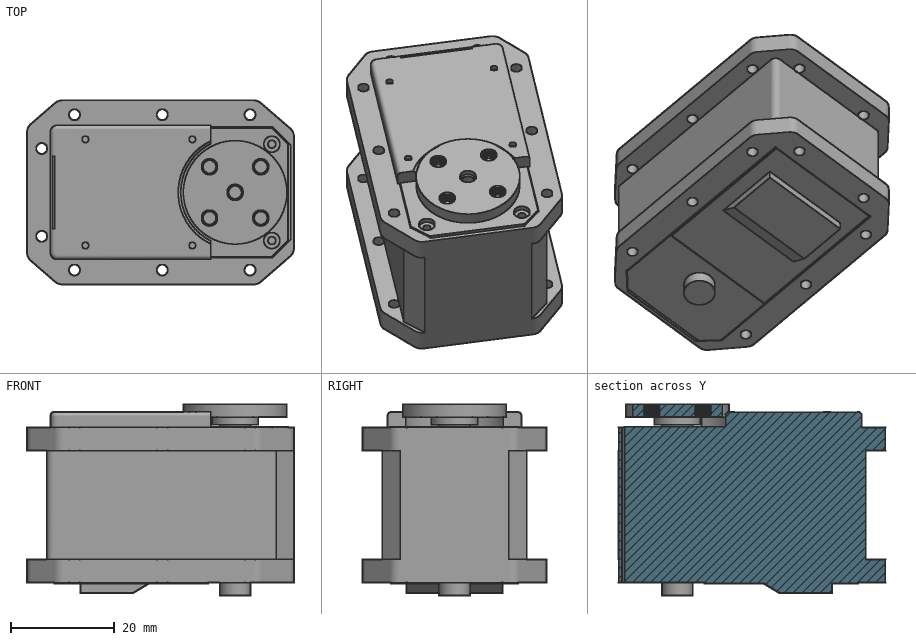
import cadquery as cq
import math

FRAME_LENGTH = 51.61
FRAME_WIDTH = 35.61
FRAME_HEIGHT = 30.0
FLANGE_THICKNESS = 4.5
CORNER_SLOPE = 0.866
LEFT_CORNER_LENGTH = 6.06
RIGHT_CORNER_LENGTH = 7.04
FLANGE_CORNER_RADIUS = 2.2

SLEEVE_LEFT_X = -22.0
SLEEVE_WIDTH = 28.0
SLEEVE_FILLET = 1.3
SLEEVE_CHAMFER = 3.5

MOUNT_HOLE_DIAMETER = 2.08
MOUNT_PITCH = 16.95
MOUNT_CENTRE_X = 0.34
MOUNT_ROW_Y = 15.0
MOUNT_LEFT_X = -22.94

WINDOW_RIGHT_X = 25.1
WINDOW_WIDTH = 25.2
WINDOW_CHAMFER = 3.5
CASE_LEFT_X = -20.5
CASE_RIGHT_X = 24.65
CASE_WIDTH = 24.9
CASE_CHAMFER = 3.1
CASE_RISE = 0.15

CAP_LEFT_X = -21.27
CAP_RIGHT_X = 9.75
CAP_WIDTH = 25.9
CAP_HEIGHT = 3.0
CAP_CORNER_RADIUS = 1.3
CAP_EDGE_FILLET = 0.8
CAP_HOLE_DIAMETER = 1.27
CAP_HOLE_DEPTH = 1.0
CAP_HOLE_LEFT_X = -14.5
CAP_HOLE_RIGHT_X = 6.15
CAP_HOLE_Y = 10.25
LABEL_NOTCH_WIDTH = 14.0
LABEL_NOTCH_DEPTH = 0.07
LABEL_NOTCH_OVERLAP = 0.05

HORN_X = 14.41
HORN_DIAMETER = 20.0
HORN_THICKNESS = 2.5
HORN_BOTTOM_Z = FRAME_HEIGHT + 2.0
HORN_TOP_Z = HORN_BOTTOM_Z + HORN_THICKNESS
COLLAR_DIAMETER = 9.0
COLLAR_BOTTOM_Z = FRAME_HEIGHT + 0.5
SHAFT_DIAMETER = 6.0
HORN_RELIEF_RADIUS = 10.5
HORN_RELIEF_CHAMFER = 0.5

THREAD_CIRCLE_DIAMETER = 14.0
THREAD_COUNT = 4
THREAD_MINOR_DIAMETER = 2.53
THREAD_MAJOR_DIAMETER = 3.09
THREAD_PITCH = 0.5

CENTRE_BORE_DIAMETER = 3.1
CENTRE_BORE_DEPTH = 1.0
CENTRE_HOLE_DIAMETER = 2.5
CENTRE_HOLE_DEPTH = 4.5

SCREW_X = 21.5
SCREW_Y = 9.31
SCREW_HEAD_DIAMETER = 3.1
SCREW_HEAD_DEPTH = 1.0
SCREW_HOLE_DIAMETER = 1.5
SCREW_HOLE_DEPTH = 3.0

IDLER_DIAMETER = 6.0
IDLER_LENGTH = 2.5
BASE_PAD_LEFT_X = -20.5
BASE_PAD_RIGHT_X = 9.2
BASE_PAD_WIDTH = 24.6
BASE_PAD_THICKNESS = 0.15
CONNECTOR_LEFT_X = -15.45
CONNECTOR_FOOT_X = -5.3
CONNECTOR_RIGHT_X = -2.0
CONNECTOR_WIDTH = 18.6
CONNECTOR_HEIGHT = 2.0


def box_between(left_x, right_x, width, bottom_z, top_z):
    """Box from left_x to right_x, centred on Y = 0."""
    length = right_x - left_x
    return (
        cq.Workplane("XY", origin=((left_x + right_x) / 2, 0, bottom_z))
        .rect(length, width)
        .extrude(top_z - bottom_z)
    )


def disc(x, y, diameter, bottom_z, top_z):
    """Vertical cylinder centred on (x, y)."""
    return (
        cq.Workplane("XY", origin=(x, y, bottom_z))
        .circle(diameter / 2)
        .extrude(top_z - bottom_z)
    )


def make_flange(bottom_z):
    half_length = FRAME_LENGTH / 2
    half_width = FRAME_WIDTH / 2
    left_top_x = -half_length + LEFT_CORNER_LENGTH
    right_top_x = half_length - RIGHT_CORNER_LENGTH
    left_side_y = half_width - LEFT_CORNER_LENGTH * CORNER_SLOPE
    right_side_y = half_width - RIGHT_CORNER_LENGTH * CORNER_SLOPE
    upper_half = [
        (half_length, right_side_y),
        (right_top_x, half_width),
        (left_top_x, half_width),
        (-half_length, left_side_y),
    ]
    lower_half = [(x, -y) for x, y in reversed(upper_half)]
    flange = (
        cq.Workplane("XY", origin=(0, 0, bottom_z))
        .polyline(upper_half + lower_half)
        .close()
        .extrude(FLANGE_THICKNESS)
        .edges("|Z")
        .fillet(FLANGE_CORNER_RADIUS)
    )
    row_xs = [MOUNT_CENTRE_X + step * MOUNT_PITCH for step in (-1, 0, 1)]
    hole_points = [(x, side * MOUNT_ROW_Y) for x in row_xs for side in (-1, 1)]
    hole_points += [(MOUNT_LEFT_X, side * MOUNT_PITCH / 2) for side in (-1, 1)]
    for x, y in hole_points:
        hole = disc(x, y, MOUNT_HOLE_DIAMETER, bottom_z, bottom_z + FLANGE_THICKNESS)
        flange = flange.cut(hole)
    return flange


def make_frame():
    """Two flanges and the sleeve, with a window right through them."""
    upper_flange_z = FRAME_HEIGHT - FLANGE_THICKNESS
    sleeve = box_between(SLEEVE_LEFT_X, FRAME_LENGTH / 2, SLEEVE_WIDTH, FLANGE_THICKNESS, upper_flange_z)
    sleeve = sleeve.edges("|Z and <X").fillet(SLEEVE_FILLET)
    sleeve = sleeve.edges("|Z and >X").chamfer(SLEEVE_CHAMFER)
    window = box_between(CASE_LEFT_X, WINDOW_RIGHT_X, WINDOW_WIDTH, 0, FRAME_HEIGHT)
    window = window.edges("|Z and >X").chamfer(WINDOW_CHAMFER)
    frame = make_flange(0).union(sleeve).union(make_flange(upper_flange_z))
    return frame.cut(window)


def make_case():
    case = box_between(CASE_LEFT_X, CASE_RIGHT_X, CASE_WIDTH, 0, FRAME_HEIGHT + CASE_RISE)
    return case.edges("|Z and >X").chamfer(CASE_CHAMFER)


def make_cap():
    """Rounded cap with a chamfered circular relief around the horn."""
    top_z = FRAME_HEIGHT + CAP_HEIGHT
    cap = box_between(CAP_LEFT_X, CAP_RIGHT_X, CAP_WIDTH, FRAME_HEIGHT, top_z)
    cap = cap.edges("|Z and <X").fillet(CAP_CORNER_RADIUS)
    cap = cap.faces(">Z").edges("not >X").fillet(CAP_EDGE_FILLET)
    notch_right_x = CAP_LEFT_X + CAP_EDGE_FILLET + LABEL_NOTCH_OVERLAP
    notch_bottom_z = top_z - LABEL_NOTCH_DEPTH
    cap = cap.cut(box_between(CAP_LEFT_X, notch_right_x, LABEL_NOTCH_WIDTH, notch_bottom_z, top_z))
    relief = disc(HORN_X, 0, 2 * HORN_RELIEF_RADIUS, FRAME_HEIGHT, top_z)
    chamfer_cone = cq.Workplane("XY").add(
        cq.Solid.makeCone(
            HORN_RELIEF_RADIUS,
            HORN_RELIEF_RADIUS + HORN_RELIEF_CHAMFER,
            HORN_RELIEF_CHAMFER,
            pnt=cq.Vector(HORN_X, 0, top_z - HORN_RELIEF_CHAMFER),
        )
    )
    cap = cap.cut(relief).cut(chamfer_cone)
    for x in (CAP_HOLE_LEFT_X, CAP_HOLE_RIGHT_X):
        for side in (-1, 1):
            cap = cap.cut(disc(x, side * CAP_HOLE_Y, CAP_HOLE_DIAMETER, top_z - CAP_HOLE_DEPTH, top_z))
    return cap


def make_thread_cutter(x, y):
    """Threaded hole through the horn, its thread shown as stacked V-shaped rings."""
    minor_radius = THREAD_MINOR_DIAMETER / 2
    major_radius = THREAD_MAJOR_DIAMETER / 2
    ring_count = round(HORN_THICKNESS / THREAD_PITCH)
    profile = cq.Workplane("XZ", origin=(x, y, HORN_BOTTOM_Z)).moveTo(0, 0).lineTo(major_radius, 0)
    for ring in range(ring_count):
        ring_z = ring * THREAD_PITCH
        profile = profile.lineTo(minor_radius, ring_z + THREAD_PITCH / 2)
        profile = profile.lineTo(major_radius, ring_z + THREAD_PITCH)
    profile = profile.lineTo(0, HORN_THICKNESS).close()
    return profile.revolve(360, (0, 0, 0), (0, 1, 0))


def make_centre_hole():
    """Stepped centre hole with a 45 degree cone between its two diameters."""
    bore_radius = CENTRE_BORE_DIAMETER / 2
    hole_radius = CENTRE_HOLE_DIAMETER / 2
    cone_depth = bore_radius - hole_radius
    profile = [
        (0, 0),
        (bore_radius, 0),
        (bore_radius, -CENTRE_BORE_DEPTH),
        (hole_radius, -CENTRE_BORE_DEPTH - cone_depth),
        (hole_radius, -CENTRE_HOLE_DEPTH),
        (0, -CENTRE_HOLE_DEPTH),
    ]
    return (
        cq.Workplane("XZ", origin=(HORN_X, 0, HORN_TOP_Z))
        .polyline(profile)
        .close()
        .revolve(360, (0, 0, 0), (0, 1, 0))
    )


def make_horn():
    shaft = disc(HORN_X, 0, SHAFT_DIAMETER, FRAME_HEIGHT, COLLAR_BOTTOM_Z)
    collar = disc(HORN_X, 0, COLLAR_DIAMETER, COLLAR_BOTTOM_Z, HORN_BOTTOM_Z)
    horn = disc(HORN_X, 0, HORN_DIAMETER, HORN_BOTTOM_Z, HORN_TOP_Z)
    circle_radius = THREAD_CIRCLE_DIAMETER / 2
    for index in range(THREAD_COUNT):
        angle = 2 * math.pi * (index + 0.5) / THREAD_COUNT
        x = HORN_X + circle_radius * math.cos(angle)
        y = circle_radius * math.sin(angle)
        horn = horn.cut(make_thread_cutter(x, y))
    return shaft.union(collar).union(horn)


def cut_case_screws(body):
    top_z = FRAME_HEIGHT + CASE_RISE
    for side in (-1, 1):
        y = side * SCREW_Y
        body = body.cut(disc(SCREW_X, y, SCREW_HEAD_DIAMETER, top_z - SCREW_HEAD_DEPTH, top_z))
        body = body.cut(disc(SCREW_X, y, SCREW_HOLE_DIAMETER, top_z - SCREW_HOLE_DEPTH, top_z))
    return body


def make_underside():
    """Idler pin, base pad and wedge-ended connector below the case."""
    idler = disc(HORN_X, 0, IDLER_DIAMETER, -IDLER_LENGTH, 0)
    pad = box_between(BASE_PAD_LEFT_X, BASE_PAD_RIGHT_X, BASE_PAD_WIDTH, -BASE_PAD_THICKNESS, 0)
    connector_outline = [
        (CONNECTOR_LEFT_X, 0),
        (CONNECTOR_LEFT_X, -CONNECTOR_HEIGHT),
        (CONNECTOR_FOOT_X, -CONNECTOR_HEIGHT),
        (CONNECTOR_RIGHT_X, 0),
    ]
    connector = (
        cq.Workplane("XZ", origin=(0, CONNECTOR_WIDTH / 2, 0))
        .polyline(connector_outline)
        .close()
        .extrude(CONNECTOR_WIDTH)
    )
    return [idler, pad, connector]


body = make_frame().union(cut_case_screws(make_case()))
body = body.union(make_cap()).union(make_horn())
for feature in make_underside():
    body = body.union(feature)
result = body.cut(make_centre_hole())